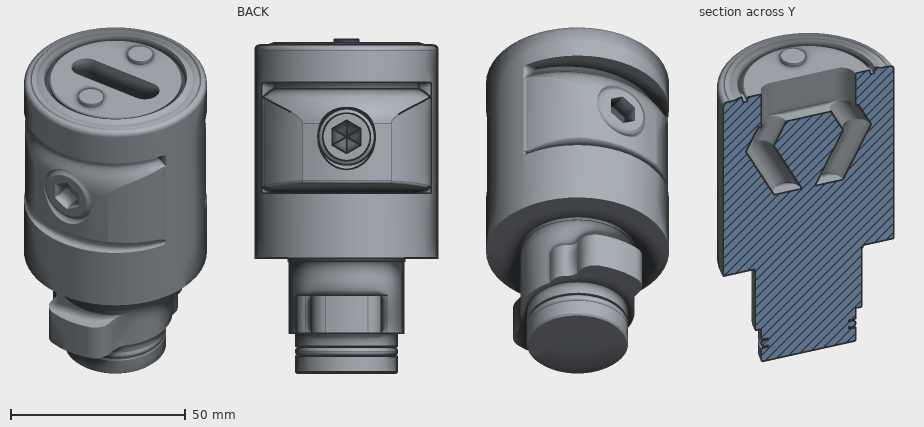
import cadquery as cq
import math

TOTAL_HEIGHT = 96.0
BODY_RADIUS = 26.3
BODY_BOTTOM = 33.1
BODY_TOP = 94.3
LIP_TOP = 95.0
BODY_TOP_FILLET = 1.5

PLUG_RADIUS = 14.6
PLUG_CHAMFER = 0.5
SEAL_GROOVE_BOTTOM = 4.9
SEAL_GROOVE_TOP = 7.8
SEAL_GROOVE_DEPTH = 2.1
SEAL_SECTION_RADIUS = 1.2

NECK_BOTTOM = 11.5
NECK_RADIUS = 16.4
COLLAR_RADIUS = 16.7
COLLAR_HEIGHT = 0.9

LUG_TOP = 22.5
LUG_TIP_RADIUS = 23.5
LUG_HALF_WIDTH = 10.0
LUG_CORNER_RADIUS = 5.2
LUG_CORNER_START = 17.85
LUG_FLANK_START = 15.9
PAD_SIDE = 14.3
PAD_ARC_START = 9.4
PAD_END = (-11.9, -13.4)

WINDOW_BOTTOM = 51.7
WINDOW_TOP = 83.6
WINDOW_INNER_Y = 10.0
WINDOW_CORNER = 1.0
WINDOW_OVERRUN = 1.0

HULL_AXIS_OFFSET = 6.4
HULL_SIDE_RADIUS = 26.0
HULL_BLEND = 0.7
HULL_FACE = 25.3
HULL_WAIST = 20.1
HULL_EDGE_Z = 54.9
HULL_EDGE_FILLET = 1.0
RIM_MARGIN = 0.2
HULL_SHOULDER_START = 71.9
HULL_SHOULDER_TOP = 81.8

SCREW_Z = 67.9
SCREW_RADIUS = 8.1
SCREW_FACE = 25.0
SCREW_FACE_RADIUS = 6.8
SCREW_BEVEL_HEIGHT = 0.9
SINK_START = 24.1
SINK_LENGTH = 2.9
HEX_ACROSS_FLATS = 8.2
HEX_DEPTH = 5.8
HEX_TIP_DEPTH = 2.4
HEX_TIP_DIAMETER = 0.1

SEAM_INNER_RADIUS = 24.0
SEAM_WIDTH = 0.7
LIP_OUTER_RADIUS = 22.6
LIP_INNER_RADIUS = 20.5
DISC_TOP = 94.4
DISC_RADIUS = 19.0
DISC_BEVEL = 0.4
RING_GROOVE_FLOOR = 93.0
RING_GROOVE_FLOOR_RADIUS = 20.1
PIN_RADIUS = 3.55
PIN_CHAMFER = 0.2
PIN_OFFSET = 12.6
SLOT_LENGTH = 28.8
SLOT_WIDTH = 8.4
SLOT_DEPTH = 11.5
PORT_START = 11.1
PORT_SLOPE = 0.5
PORT_UPPER_HEIGHT = 7.7
PORT_LOWER_HEIGHT = 17.3


def cylinder(radius, bottom, top):
    return cq.Workplane("XY").workplane(offset=bottom).circle(radius).extrude(top - bottom)


def both_sides(shape):
    """Add a copy turned half a revolution about the part axis."""
    return shape.union(shape.rotate((0, 0, 0), (0, 0, 1), 180))


def make_plug():
    plug = cylinder(PLUG_RADIUS, 0, NECK_BOTTOM).faces("<Z").chamfer(PLUG_CHAMFER)
    floor_radius = PLUG_RADIUS - SEAL_GROOVE_DEPTH
    groove = cylinder(PLUG_RADIUS, SEAL_GROOVE_BOTTOM, SEAL_GROOVE_TOP).cut(
        cylinder(floor_radius, SEAL_GROOVE_BOTTOM, SEAL_GROOVE_TOP)
    )
    seal_z = (SEAL_GROOVE_BOTTOM + SEAL_GROOVE_TOP) / 2
    seal_path_radius = PLUG_RADIUS - SEAL_SECTION_RADIUS
    seal = cq.Workplane(cq.Solid.makeTorus(seal_path_radius, SEAL_SECTION_RADIUS, cq.Vector(0, 0, seal_z)))
    return plug.cut(groove).union(seal)


def make_lug():
    """Lug on the -Y side, with a thin rounded pad on its -X flank."""
    corner_x = LUG_HALF_WIDTH - LUG_CORNER_RADIUS
    tip_scale = LUG_TIP_RADIUS / math.hypot(corner_x, LUG_CORNER_START)
    tip_x = corner_x * tip_scale
    tip_y = -LUG_CORNER_START * tip_scale
    root = NECK_RADIUS / math.sqrt(2)
    return (
        cq.Workplane("XY")
        .workplane(offset=NECK_BOTTOM)
        .moveTo(0, 0)
        .lineTo(-PAD_SIDE, -math.sqrt(NECK_RADIUS**2 - PAD_SIDE**2))
        .lineTo(-PAD_SIDE, -PAD_ARC_START)
        .tangentArcPoint(PAD_END, relative=False)
        .tangentArcPoint((-LUG_HALF_WIDTH, -LUG_FLANK_START), relative=False)
        .lineTo(-LUG_HALF_WIDTH, -LUG_CORNER_START)
        .tangentArcPoint((-tip_x, tip_y), relative=False)
        .threePointArc((0, -LUG_TIP_RADIUS), (tip_x, tip_y))
        .tangentArcPoint((LUG_HALF_WIDTH, -LUG_CORNER_START), relative=False)
        .lineTo(LUG_HALF_WIDTH, -LUG_FLANK_START)
        .tangentArcPoint((root, -root), relative=False)
        .close()
        .extrude(LUG_TOP - NECK_BOTTOM)
    )


def make_hull_sides():
    """Round column limiting the hull sideways, blended into the web by slanted strips."""
    blend_y = WINDOW_INNER_Y + HULL_BLEND
    web_x = math.sqrt(BODY_RADIUS**2 - WINDOW_INNER_Y**2)
    side_x = math.sqrt(HULL_SIDE_RADIUS**2 - blend_y**2)
    blend = (
        cq.Workplane("XY")
        .workplane(offset=WINDOW_BOTTOM)
        .polyline(
            [
                (-web_x, -WINDOW_INNER_Y),
                (web_x, -WINDOW_INNER_Y),
                (side_x, -blend_y),
                (-side_x, -blend_y),
            ]
        )
        .close()
        .extrude(WINDOW_TOP - WINDOW_BOTTOM)
    )
    return cylinder(HULL_SIDE_RADIUS, WINDOW_BOTTOM, WINDOW_TOP).union(blend)


def make_hull():
    """Hull half on the -Y side, turned about an axis behind the part axis."""
    face = HULL_FACE + HULL_AXIS_OFFSET
    waist = HULL_WAIST + HULL_AXIS_OFFSET
    turned = (
        cq.Workplane("XZ")
        .moveTo(0, WINDOW_BOTTOM)
        .lineTo(waist, WINDOW_BOTTOM)
        .lineTo(face, HULL_EDGE_Z)
        .lineTo(face, HULL_SHOULDER_START)
        .tangentArcPoint((waist, HULL_SHOULDER_TOP), relative=False)
        .lineTo(waist, WINDOW_TOP)
        .lineTo(0, WINDOW_TOP)
        .close()
        .revolve(360, (0, 0), (0, 1))
        .translate((0, HULL_AXIS_OFFSET, 0))
    )
    hull = turned.intersect(make_hull_sides())
    underside_rim = cq.selectors.BoxSelector(
        (-BODY_RADIUS, -BODY_RADIUS, WINDOW_BOTTOM + RIM_MARGIN),
        (BODY_RADIUS, -WINDOW_INNER_Y - HULL_BLEND, HULL_EDGE_Z + RIM_MARGIN),
    )
    return hull.edges(underside_rim).fillet(HULL_EDGE_FILLET)


def make_window():
    """Empty space of the -Y window, in front of the hull."""
    depth = BODY_RADIUS - WINDOW_INNER_Y + WINDOW_OVERRUN
    height = WINDOW_TOP - WINDOW_BOTTOM
    opening = (
        cq.Workplane("XY")
        .box(2 * BODY_RADIUS, depth, height)
        .edges("|X and >Y")
        .fillet(WINDOW_CORNER)
        .translate((0, -WINDOW_INNER_Y - depth / 2, (WINDOW_BOTTOM + WINDOW_TOP) / 2))
    )
    return opening.cut(make_hull())


def make_countersink():
    """Conical seat opening toward -Y."""
    seat = cq.Solid.makeCone(
        SCREW_RADIUS,
        SCREW_RADIUS + SINK_LENGTH,
        SINK_LENGTH,
        pnt=cq.Vector(0, -SINK_START, SCREW_Z),
        dir=cq.Vector(0, -1, 0),
    )
    return cq.Workplane(seat)


def make_screw_head():
    bevel_start = SCREW_FACE - SCREW_BEVEL_HEIGHT
    head = (
        cq.Workplane("XZ", origin=(0, -WINDOW_INNER_Y, SCREW_Z))
        .circle(SCREW_RADIUS)
        .extrude(bevel_start - WINDOW_INNER_Y)
    )
    bevel = cq.Solid.makeCone(
        SCREW_RADIUS,
        SCREW_FACE_RADIUS,
        SCREW_BEVEL_HEIGHT,
        pnt=cq.Vector(0, -bevel_start, SCREW_Z),
        dir=cq.Vector(0, -1, 0),
    )
    return head.union(cq.Workplane(bevel))


def make_hex_socket():
    """Hexagonal socket with corners up and down and a pyramid-shaped end."""
    hex_diameter = HEX_ACROSS_FLATS / math.cos(math.pi / 6)
    floor_y = HEX_DEPTH - SCREW_FACE

    def hexagon(y, diameter):
        plane = cq.Plane(origin=(0, y, SCREW_Z), xDir=(0, 0, 1), normal=(0, 1, 0))
        return cq.Workplane(plane).polygon(6, diameter)

    socket = hexagon(-SCREW_FACE, hex_diameter).extrude(HEX_DEPTH)
    tip = (
        hexagon(floor_y, hex_diameter)
        .workplane(offset=HEX_TIP_DEPTH)
        .polygon(6, HEX_TIP_DIAMETER)
        .loft(ruled=True)
    )
    return socket.union(tip)


def make_body():
    body = cylinder(BODY_RADIUS, BODY_BOTTOM, BODY_TOP).faces(">Z").edges().fillet(BODY_TOP_FILLET)
    lip_height = LIP_TOP - BODY_TOP
    lip = cq.Workplane(
        cq.Solid.makeCone(LIP_OUTER_RADIUS, LIP_INNER_RADIUS, lip_height, pnt=cq.Vector(0, 0, BODY_TOP))
    )
    recess = (
        cq.Workplane("XZ")
        .moveTo(0, DISC_TOP)
        .lineTo(DISC_RADIUS - DISC_BEVEL, DISC_TOP)
        .lineTo(DISC_RADIUS, DISC_TOP - DISC_BEVEL)
        .lineTo(DISC_RADIUS, RING_GROOVE_FLOOR)
        .lineTo(RING_GROOVE_FLOOR_RADIUS, RING_GROOVE_FLOOR)
        .lineTo(LIP_INNER_RADIUS, LIP_TOP)
        .lineTo(0, LIP_TOP)
        .close()
        .revolve(360, (0, 0), (0, 1))
    )
    seam = (
        cq.Workplane("XZ")
        .polyline(
            [
                (SEAM_INNER_RADIUS, BODY_TOP),
                (SEAM_INNER_RADIUS + SEAM_WIDTH / 2, BODY_TOP - SEAM_WIDTH / 2),
                (SEAM_INNER_RADIUS + SEAM_WIDTH, BODY_TOP),
            ]
        )
        .close()
        .revolve(360, (0, 0), (0, 1))
    )
    return body.union(lip).cut(recess).cut(seam)


def make_pins():
    return (
        cq.Workplane("XY")
        .workplane(offset=DISC_TOP)
        .pushPoints([(0, PIN_OFFSET), (0, -PIN_OFFSET)])
        .circle(PIN_RADIUS)
        .extrude(TOTAL_HEIGHT - DISC_TOP)
        .faces(">Z")
        .edges()
        .chamfer(PIN_CHAMFER)
    )


def make_port(side):
    """Bent passage: leans outward below the slot floor, then back inward."""
    start_z = DISC_TOP - SLOT_DEPTH
    bend_z = start_z - PORT_UPPER_HEIGHT
    end_z = bend_z - PORT_LOWER_HEIGHT
    bend_x = PORT_START + PORT_SLOPE * PORT_UPPER_HEIGHT
    end_x = bend_x - PORT_SLOPE * PORT_LOWER_HEIGHT

    def port_circle(x, z):
        return cq.Workplane("XY", origin=(side * x, 0, z)).circle(SLOT_WIDTH / 2).wire().val()

    start = port_circle(PORT_START, start_z)
    bend = port_circle(bend_x, bend_z)
    end = port_circle(end_x, end_z)
    upper_leg = cq.Workplane(cq.Solid.makeLoft([start, bend], True))
    lower_leg = cq.Workplane(cq.Solid.makeLoft([bend, end], True))
    return upper_leg.union(lower_leg)


def make_slot():
    slot = (
        cq.Workplane("XY")
        .workplane(offset=DISC_TOP - SLOT_DEPTH)
        .slot2D(SLOT_LENGTH, SLOT_WIDTH)
        .extrude(SLOT_DEPTH)
    )
    return slot.union(make_port(1)).union(make_port(-1))


neck = cylinder(NECK_RADIUS, NECK_BOTTOM, BODY_BOTTOM)
collar = cylinder(COLLAR_RADIUS, BODY_BOTTOM - COLLAR_HEIGHT, BODY_BOTTOM)

result = (
    make_body()
    .cut(both_sides(make_window()))
    .cut(both_sides(make_countersink()))
    .union(both_sides(make_screw_head()))
    .cut(both_sides(make_hex_socket()))
    .cut(make_slot())
    .union(make_pins())
    .union(neck)
    .union(collar)
    .union(both_sides(make_lug()))
    .union(make_plug())
)